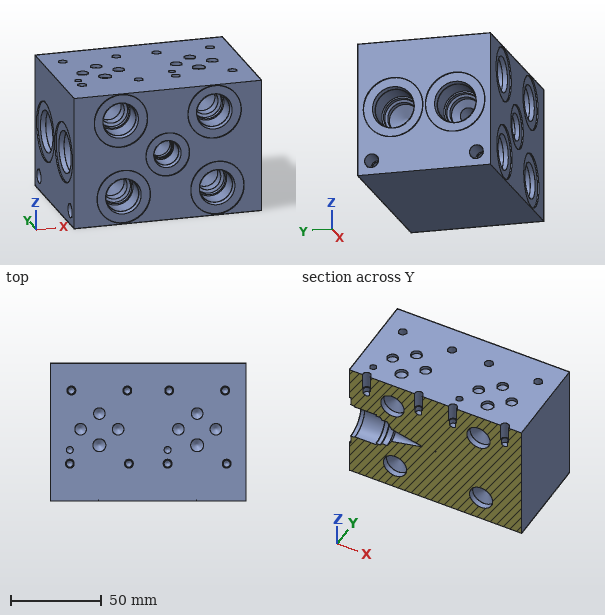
import cadquery as cq
import math

LENGTH = 108.0
WIDTH = 76.2
HEIGHT = 76.2

DRILL_HALF_ANGLE = math.radians(59)
SEAT_HALF_ANGLE = math.radians(13)

SPOTFACE_DEPTH = 0.8
LARGE_PORT = dict(
    spotface=34.1,
    mouth=23.9, seat_end=22.6,
    thread=22.2, thread_depth=16.7,
    minor=20.4, minor_depth=19.4,
    drill=17.5, drill_depth=23.7,
)
MEDIUM_PORT = dict(
    spotface=30.7,
    mouth=20.4, seat_end=19.2,
    thread=19.0, thread_depth=14.2,
    minor=17.5, minor_depth=16.7,
    drill=14.2, drill_depth=23.7,
)
SMALL_PORT = dict(
    spotface=25.0,
    mouth=15.7, seat_end=14.5,
    thread=14.2, thread_depth=12.7,
    minor=12.8, minor_depth=14.0,
    drill=12.3, drill_depth=16.7,
)

STATION_PITCH = LENGTH / 2
STATION_CENTERS = [STATION_PITCH / 2, STATION_PITCH * 3 / 2]
UPPER_PORT_Z = 60.3
LOWER_PORT_Z = 15.9
LOWER_PORT_SHIFT = 1.6

LARGE_PORT_OFFSET = 17.8
PILOT_DIAMETER = 8.9
MOUNT_INSET = 8.0
MOUNT_THREAD = 7.9
MOUNT_THREAD_DEPTH = 13.0
MOUNT_DRILL = 6.4
MOUNT_DRILL_DEPTH = 17.3

BOLT_THREAD = 4.9
BOLT_THREAD_DEPTH = 10.8
BOLT_DRILL = 3.8
BOLT_DRILL_DEPTH = 14.0
REAR_BOLT_OFFSET = 15.4
REAR_BOLT_Y = 61.1
FRONT_BOLT_OFFSET = 16.3
FRONT_BOLT_Y = 20.7
PIN_DIAMETER = 3.8
PIN_Y = 28.3
PIN_DEPTH = 5.4
PASSAGE_DIAMETER = 6.4
PASSAGE_DEPTH = 1.9
SIDE_PASSAGE_OFFSET = 10.4
SIDE_PASSAGE_Y = 39.7
REAR_PASSAGE_Y = 48.4
FRONT_PASSAGE_DIAMETER = 7.1
FRONT_PASSAGE_Y = 30.9


def cone_depth(start_diameter, end_diameter, half_angle):
    return (start_diameter - end_diameter) / 2 / math.tan(half_angle)


def revolved_cutter(profile):
    """Solid of revolution about Z, entering at Z = 0, from (diameter, depth) points."""
    outline = [(0, 0)]
    outline += [(diameter / 2, -depth) for diameter, depth in profile]
    return cq.Workplane("XZ").polyline(outline).close().revolve(360, (0, 0), (0, 1))


def drill_tip(diameter, depth):
    return (0, depth + cone_depth(diameter, 0, DRILL_HALF_ANGLE))


def drilled_cutter(diameter, depth):
    return revolved_cutter([(diameter, 0), (diameter, depth), drill_tip(diameter, depth)])


def tapped_cutter(thread, thread_depth, drill, drill_depth):
    return revolved_cutter([
        (thread, 0), (thread, thread_depth),
        (drill, thread_depth), (drill, drill_depth),
        drill_tip(drill, drill_depth),
    ])


def port_cutter(port, pilot=0):
    """Stepped port cutter; a nonzero pilot diameter adds a slender conical pilot at the drill tip."""
    seat_depth = SPOTFACE_DEPTH + cone_depth(port["mouth"], port["seat_end"], SEAT_HALF_ANGLE)
    shoulder_depth = port["minor_depth"] + cone_depth(port["minor"], port["drill"], DRILL_HALF_ANGLE)
    profile = [
        (port["spotface"], 0), (port["spotface"], SPOTFACE_DEPTH),
        (port["mouth"], SPOTFACE_DEPTH), (port["seat_end"], seat_depth),
        (port["thread"], seat_depth), (port["thread"], port["thread_depth"]),
        (port["minor"], port["thread_depth"]), (port["minor"], port["minor_depth"]),
        (port["drill"], shoulder_depth), (port["drill"], port["drill_depth"]),
    ]
    if pilot:
        taper_start = port["drill_depth"] + cone_depth(port["drill"], pilot, DRILL_HALF_ANGLE)
        taper_end = taper_start + cone_depth(pilot, 0, SEAT_HALF_ANGLE)
        profile += [(pilot, taper_start), (0, taper_end)]
    else:
        profile.append(drill_tip(port["drill"], port["drill_depth"]))
    return revolved_cutter(profile)


def on_front(cutter, x, z):
    return cutter.rotate((0, 0, 0), (1, 0, 0), 90).translate((x, 0, z))


def on_left(cutter, y, z):
    return cutter.rotate((0, 0, 0), (0, 1, 0), -90).translate((0, y, z))


def on_top(cutter, x, y):
    return cutter.translate((x, y, HEIGHT))


def front_cutters():
    medium = port_cutter(MEDIUM_PORT)
    cutters = [on_front(port_cutter(SMALL_PORT), LENGTH / 2, HEIGHT / 2)]
    for center in STATION_CENTERS:
        cutters.append(on_front(medium, center, UPPER_PORT_Z))
        cutters.append(on_front(medium, center + LOWER_PORT_SHIFT, LOWER_PORT_Z))
    return cutters


def left_cutters():
    mount = tapped_cutter(MOUNT_THREAD, MOUNT_THREAD_DEPTH, MOUNT_DRILL, MOUNT_DRILL_DEPTH)
    pilot_port = port_cutter(LARGE_PORT, PILOT_DIAMETER)
    return [
        on_left(port_cutter(LARGE_PORT), WIDTH / 2 + LARGE_PORT_OFFSET, HEIGHT / 2),
        on_left(pilot_port, WIDTH / 2 - LARGE_PORT_OFFSET, HEIGHT / 2),
        on_left(mount, MOUNT_INSET, MOUNT_INSET),
        on_left(mount, WIDTH - MOUNT_INSET, MOUNT_INSET),
    ]


def station_cutters(center):
    bolt = tapped_cutter(BOLT_THREAD, BOLT_THREAD_DEPTH, BOLT_DRILL, BOLT_DRILL_DEPTH)
    passage = drilled_cutter(PASSAGE_DIAMETER, PASSAGE_DEPTH)
    front_passage = drilled_cutter(FRONT_PASSAGE_DIAMETER, PASSAGE_DEPTH)
    pin = drilled_cutter(PIN_DIAMETER, PIN_DEPTH)
    cutters = [
        on_top(passage, center, REAR_PASSAGE_Y),
        on_top(front_passage, center, FRONT_PASSAGE_Y),
        on_top(pin, center - FRONT_BOLT_OFFSET, PIN_Y),
    ]
    for side in (-1, 1):
        cutters.append(on_top(bolt, center + side * REAR_BOLT_OFFSET, REAR_BOLT_Y))
        cutters.append(on_top(bolt, center + side * FRONT_BOLT_OFFSET, FRONT_BOLT_Y))
        cutters.append(on_top(passage, center + side * SIDE_PASSAGE_OFFSET, SIDE_PASSAGE_Y))
    return cutters


result = cq.Workplane("XY").box(LENGTH, WIDTH, HEIGHT, centered=False)
all_cutters = front_cutters() + left_cutters()
for station_center in STATION_CENTERS:
    all_cutters += station_cutters(station_center)
for hole in all_cutters:
    result = result.cut(hole)